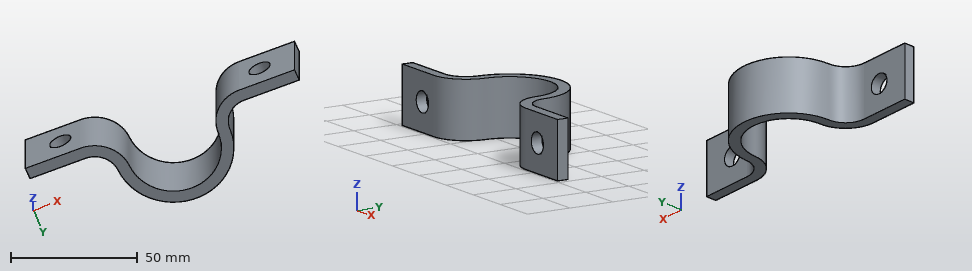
import cadquery as cq
import math

length = 115.0
depth = 38.0
width = 25.0
thickness = 5.0
saddle_radius = 19.0
bend_radius = 10.0
hole_diameter = 9.0
hole_end_distance = 15.0

saddle_outer_radius = saddle_radius + thickness
bend_outer_radius = bend_radius + thickness
saddle_y = depth - saddle_outer_radius
bend_y = bend_outer_radius
centre_distance = saddle_radius + bend_outer_radius
joint_angle = math.asin((bend_y - saddle_y) / centre_distance)
bend_x = centre_distance * math.cos(joint_angle)
bend_mid_angle = (math.pi / 2 + joint_angle) / 2


def saddle_point(radius, side):
    """Joint end of a saddle arc, on the left (-1) or right (+1)."""
    return (side * radius * math.cos(joint_angle), saddle_y + radius * math.sin(joint_angle))


def bend_middle(radius, side):
    """Middle of a bend arc, on the left (-1) or right (+1)."""
    return (
        side * (bend_x - radius * math.cos(bend_mid_angle)),
        bend_y - radius * math.sin(bend_mid_angle),
    )


def make_strip():
    """Bent strip, centred on X and Z, with its feet resting on Y = 0."""
    half_length = length / 2
    return (
        cq.Workplane("XY")
        .workplane(offset=-width / 2)
        .moveTo(-half_length, 0)
        .lineTo(-bend_x, 0)
        .threePointArc(bend_middle(bend_outer_radius, -1), saddle_point(saddle_radius, -1))
        .threePointArc((0, saddle_y + saddle_radius), saddle_point(saddle_radius, 1))
        .threePointArc(bend_middle(bend_outer_radius, 1), (bend_x, 0))
        .lineTo(half_length, 0)
        .lineTo(half_length, thickness)
        .lineTo(bend_x, thickness)
        .threePointArc(bend_middle(bend_radius, 1), saddle_point(saddle_outer_radius, 1))
        .threePointArc((0, depth), saddle_point(saddle_outer_radius, -1))
        .threePointArc(bend_middle(bend_radius, -1), (-bend_x, thickness))
        .lineTo(-half_length, thickness)
        .close()
        .extrude(width)
    )


def make_foot_holes():
    """One cylinder through each foot, along Y."""
    hole_x = length / 2 - hole_end_distance
    return (
        cq.Workplane("XZ")
        .pushPoints([(-hole_x, 0), (hole_x, 0)])
        .circle(hole_diameter / 2)
        .extrude(-thickness)
    )


result = make_strip().cut(make_foot_holes())